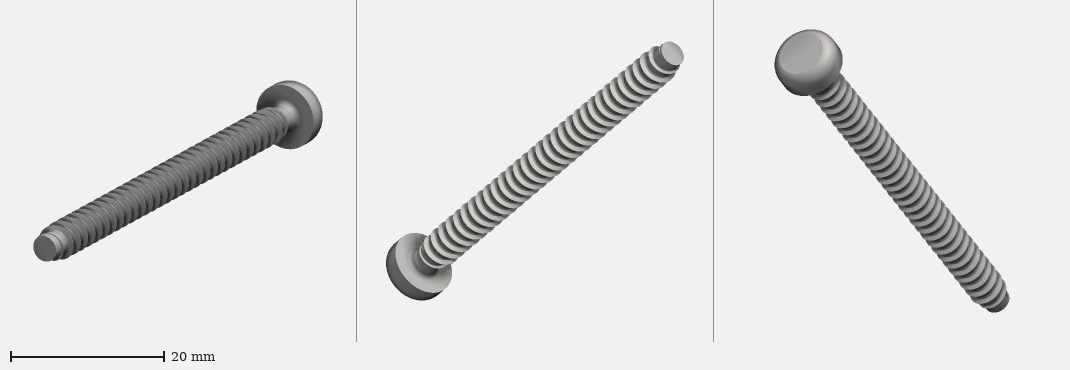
import cadquery as cq
import math


head_radius = 4.4
head_height = 3.49
head_rim_height = 1.75
head_top_radius = 3.1

shank_length = 60.0
core_radius = 1.75
neck_radius = 1.92
neck_fillet = 0.55
neck_length = 1.1

thread_radius = 2.5
pitch = 1.8
root_half_width = 0.4
knee_height = 0.15
knee_half_width = 0.2
crest_half_width = 0.03

turn_zero_y = -56.85
first_turn = -1.6
last_turn = 30.9
fade_turns = 1.5
end_width_ratio = 0.15

half_turn = 0.5
intervals_per_half_turn = 12

lower_root = (0, -root_half_width)
upper_root = (0, root_half_width)
ridge_section = [
    lower_root,
    (knee_height, -knee_half_width),
    (thread_radius - core_radius, -crest_half_width),
    (thread_radius - core_radius, crest_half_width),
    (knee_height, knee_half_width),
    upper_root,
]


def head_faces():
    """Faces of the domed head and its tapered, filleted neck, open where the shank joins."""
    dome_height = head_height - head_rim_height
    dome_inset = head_radius - head_top_radius
    dome_radius = (dome_inset**2 + dome_height**2) / (2 * dome_inset)
    half_angle = math.asin(dome_height / dome_radius) / 2
    dome_middle = (
        head_radius - dome_radius * (1 - math.cos(half_angle)),
        head_rim_height + dome_radius * math.sin(half_angle),
    )
    fillet_inset = neck_fillet * (1 - math.sqrt(0.5))
    head = (
        cq.Workplane("XY")
        .moveTo(0, head_height)
        .lineTo(head_top_radius, head_height)
        .threePointArc(dome_middle, (head_radius, head_rim_height))
        .lineTo(head_radius, 0)
        .lineTo(neck_radius + neck_fillet, 0)
        .threePointArc(
            (neck_radius + fillet_inset, -fillet_inset),
            (neck_radius, -neck_fillet),
        )
        .lineTo(core_radius, -neck_length)
        .lineTo(0, -neck_length)
        .close()
        .revolve(360, (0, 0), (0, 1))
    )
    return head.faces("not <Y").vals()


def around_axis(turn, radius, y):
    """Point at the given radius and Y, turned about the screw axis from the +X side."""
    angle = 2 * math.pi * turn
    return cq.Vector(radius * math.cos(angle), y, -radius * math.sin(angle))


def ridge_point(turn, corner):
    """Point of one corner of the ridge section, which dwindles to a narrow flat strip at both ends."""
    height, offset = corner
    size = min(1, (turn - first_turn) / fade_turns, (last_turn - turn) / fade_turns)
    y = turn_zero_y + pitch * turn + offset * max(size, end_width_ratio)
    return around_axis(turn, core_radius + height * size, y)


def half_turn_starts(begin, end):
    """Turn values at which the half turns between two turns begin."""
    return [begin + half_turn * i for i in range(round((end - begin) / half_turn))]


def ridge_curve(start, corner):
    """One half turn of the spiral along a corner of the ridge."""
    step = half_turn / intervals_per_half_turn
    turns = [start + step * i for i in range(intervals_per_half_turn + 1)]
    return cq.Edge.makeSpline([ridge_point(turn, corner) for turn in turns])


def circle_curve(start, y):
    """One half turn of the core circle at the given Y."""
    return cq.Edge.makeThreePointArc(
        around_axis(start, core_radius, y),
        around_axis(start + half_turn / 2, core_radius, y),
        around_axis(start + half_turn, core_radius, y),
    )


def ridge_faces():
    """Flanks and crest of the thread."""
    return [
        cq.Face.makeRuledSurface(ridge_curve(start, lower), ridge_curve(start, upper))
        for start in half_turn_starts(first_turn, last_turn)
        for lower, upper in zip(ridge_section, ridge_section[1:])
    ]


def core_faces():
    """Core surface between neighbouring turns, and from the end turns to the neck and the tip."""
    between_turns = [
        cq.Face.makeRuledSurface(ridge_curve(start, upper_root), ridge_curve(start + 1, lower_root))
        for start in half_turn_starts(first_turn, last_turn - 1)
    ]
    to_tip = [
        cq.Face.makeRuledSurface(circle_curve(start, -shank_length), ridge_curve(start, lower_root))
        for start in half_turn_starts(first_turn, first_turn + 1)
    ]
    to_neck = [
        cq.Face.makeRuledSurface(ridge_curve(start, upper_root), circle_curve(start, -neck_length))
        for start in half_turn_starts(last_turn - 1, last_turn)
    ]
    return between_turns + to_tip + to_neck


def tip_face():
    """Flat end of the shank."""
    rim = [circle_curve(start, -shank_length) for start in half_turn_starts(first_turn, first_turn + 1)]
    return cq.Face.makeFromWires(cq.Wire.assembleEdges(rim))


skin = cq.Shell.makeShell(head_faces() + ridge_faces() + core_faces() + [tip_face()])
result = cq.Workplane(cq.Solid.makeSolid(skin))